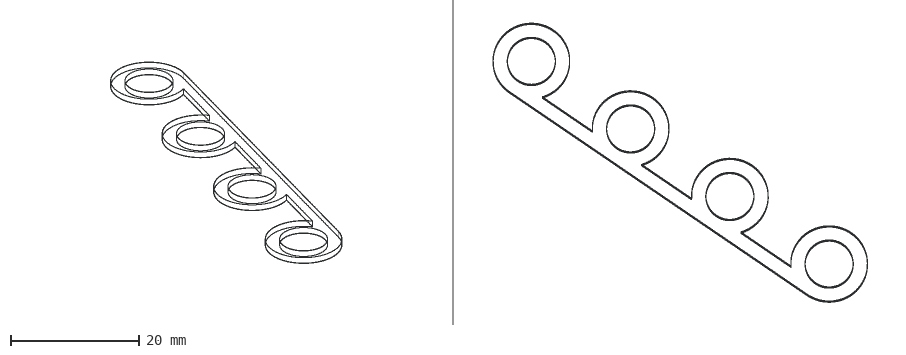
import cadquery as cq
import math

length = 68.0
depth = 19.1
thickness = 1.0

ring_count = 4
ring_diameter = 11.95
hole_diameter = 7.5
bar_width = 2.25

row_x = length - ring_diameter
row_y = depth - ring_diameter
row_length = math.hypot(row_x, row_y)
row_angle = math.degrees(math.atan2(row_y, row_x))
pitch = row_length / (ring_count - 1)

centres = [(i * pitch - row_length / 2, 0) for i in range(ring_count)]


def discs(diameter):
    """One disc of full thickness at every ring centre."""
    return cq.Workplane("XY").pushPoints(centres).circle(diameter / 2).extrude(thickness)


def bar():
    """Straight bar whose outer edge is tangent to all the rings."""
    bar_y = (ring_diameter - bar_width) / 2
    return cq.Workplane("XY").center(0, bar_y).rect(row_length, bar_width).extrude(thickness)


flat_row = bar().union(discs(ring_diameter)).cut(discs(hole_diameter))

result = flat_row.rotate((0, 0, 0), (0, 0, 1), row_angle)